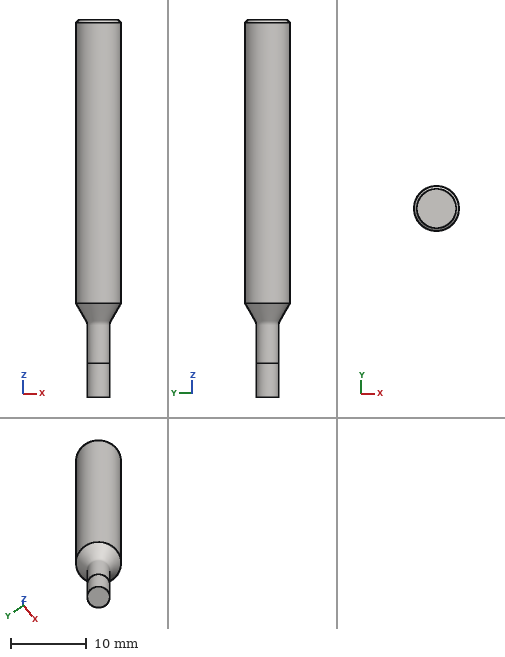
import cadquery as cq
import math

total_length = 50.0
shank_diameter = 6.0
tip_diameter = 3.0

tip_length = 4.5
shoulder_height = 12.45
taper_half_angle = 30.0
neck_fillet_radius = 1.0
end_chamfer = 0.4

shank_radius = shank_diameter / 2
tip_radius = tip_diameter / 2
neck_radius = tip_radius


def make_tip():
    """Plain cylindrical tip below the neck."""
    return cq.Workplane("XY").circle(tip_radius).extrude(tip_length)


def make_shank():
    """Neck, blended taper and chamfered shank, revolved as one body."""
    taper = math.radians(taper_half_angle)
    taper_height = (shank_radius - neck_radius) / math.tan(taper)
    taper_foot = shoulder_height - taper_height

    fillet_start = taper_foot - neck_fillet_radius * math.tan(taper / 2)

    def fillet_point(angle):
        radius = neck_radius + neck_fillet_radius * (1 - math.cos(angle))
        return radius, fillet_start + neck_fillet_radius * math.sin(angle)

    return (
        cq.Workplane("XZ")
        .moveTo(0, tip_length)
        .lineTo(neck_radius, tip_length)
        .lineTo(neck_radius, fillet_start)
        .threePointArc(fillet_point(taper / 2), fillet_point(taper))
        .lineTo(shank_radius, shoulder_height)
        .lineTo(shank_radius, total_length - end_chamfer)
        .lineTo(shank_radius - end_chamfer, total_length)
        .lineTo(0, total_length)
        .close()
        .revolve(360, (0, 0, 0), (0, 1, 0))
    )


tip = make_tip()
shank = make_shank()

result = cq.Compound.makeCompound([tip.val(), shank.val()])